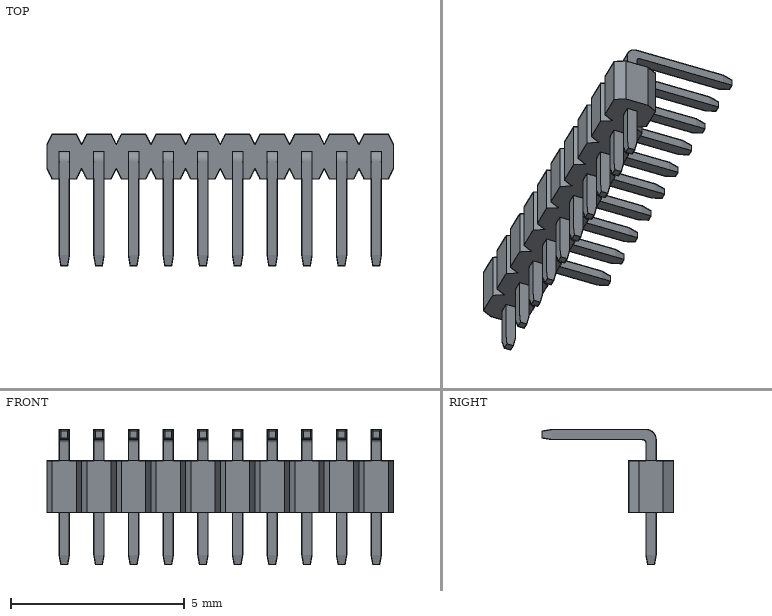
import cadquery as cq

pin_count = 10
pitch = 1
strip_depth = 1.3
strip_height = 1.5
chamfer_x = 0.15
chamfer_y = 0.3

pin_width = 0.3
pin_drop = 1.5
pin_rise = 0.9
arm_reach = 3.15
leg_tip_length = 0.27
arm_tip_length = 0.3
tip_width = 0.2
bend_outer_radius = 0.3
bend_inner_radius = 0.1

half_pin = pin_width / 2
pin_top = strip_height + pin_rise
arm_axis_z = pin_top - half_pin


def make_cell():
    """Octagonal prism of the strip that surrounds one pin."""
    half_x = pitch / 2
    half_y = strip_depth / 2
    flat_x = half_x - chamfer_x
    flat_y = half_y - chamfer_y
    outline = [
        (half_x, flat_y),
        (flat_x, half_y),
        (-flat_x, half_y),
        (-half_x, flat_y),
        (-half_x, -flat_y),
        (-flat_x, -half_y),
        (flat_x, -half_y),
        (half_x, -flat_y),
    ]
    return cq.Workplane("XY").polyline(outline).close().extrude(strip_height)


def make_tip(base_plane, tip_length):
    """Square pyramid frustum that narrows along the normal of its base plane."""
    return (
        cq.Workplane(base_plane)
        .rect(pin_width, pin_width)
        .workplane(offset=tip_length)
        .rect(tip_width, tip_width)
        .loft()
    )


def make_pin():
    """Square pin that rises through the strip and bends toward -Y, with a tapered tip at each end."""
    leg_end_z = leg_tip_length - pin_drop
    arm_end_y = arm_tip_length - arm_reach
    arm_bottom_z = pin_top - pin_width
    bent_bar = (
        cq.Workplane("YZ")
        .moveTo(half_pin, leg_end_z)
        .lineTo(half_pin, pin_top - bend_outer_radius)
        .radiusArc((half_pin - bend_outer_radius, pin_top), -bend_outer_radius)
        .lineTo(arm_end_y, pin_top)
        .lineTo(arm_end_y, arm_bottom_z)
        .lineTo(-half_pin - bend_inner_radius, arm_bottom_z)
        .radiusArc((-half_pin, arm_bottom_z - bend_inner_radius), bend_inner_radius)
        .lineTo(-half_pin, leg_end_z)
        .close()
        .extrude(half_pin, both=True)
    )
    leg_end = cq.Plane(origin=(0, 0, leg_end_z), xDir=(1, 0, 0), normal=(0, 0, -1))
    arm_end = cq.Plane(origin=(0, arm_end_y, arm_axis_z), xDir=(1, 0, 0), normal=(0, -1, 0))
    leg_tip = make_tip(leg_end, leg_tip_length)
    arm_tip = make_tip(arm_end, arm_tip_length)
    return bent_bar.union(leg_tip).union(arm_tip)


unit = make_cell().union(make_pin())
first_x = -pitch * (pin_count - 1) / 2
result = unit.translate((first_x, 0, 0))
for index in range(1, pin_count):
    result = result.union(unit.translate((first_x + index * pitch, 0, 0)))
result = result.clean()